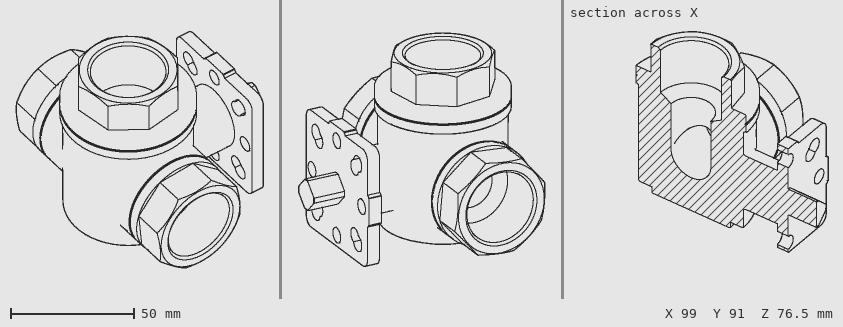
import cadquery as cq

body_radius = 26.5
body_bottom = -24.0
body_edge_fillet = 1.0
foot_radius = 19.9
foot_bottom = -27.0
foot_edge_fillet = 0.9
neck_blend = 0.9

port_reach = 49.5
side_neck_radius = 21.9
side_collar_end = 35.5
top_flange_radius = 27.8
top_flange_bottom = 25.8
top_flange_end = 35.0
joint_offset = 5.2
joint_width = 0.5
joint_depth = 0.4
flange_edge_fillet = 0.5
flange_root_fillet = 0.5

nut_corner_radius = 21.8
nut_sides = 8
side_nut_turn = -17.4
top_nut_turn = -13.5
nut_face_radius = 19.8
nut_chamfer_length = 1.4

bore_radius = 9.9
thread_radius = 15.3
thread_depth = 22.8
mouth_radius = 16.4
shoulder_length = 3.3

stem_neck_radius = 13.9
plate_front = 43.4
plate_back = 49.0
plate_half = 25.9
plate_corner_radius = 4.0
tab_half_width = 6.0
tab_height = 1.5
tab_fillet = 1.0
tab_turns = (0, -90)
edge_circle_radius = 21.0
corner_inner_radius = 21.4
corner_outer_radius = 24.9
small_hole_radius = 3.3
large_hole_radius = 3.5
stem_square = 11.0
stem_round_radius = 6.7
stem_end = 63.2
stem_end_chamfer = 0.3


def revolved(points):
    """Turn a (radius, height) outline about Z."""
    return cq.Workplane("XZ").polyline(points).close().revolve(360, (0, 0), (0, 1))


def z_cylinder(radius, bottom, top):
    return cq.Workplane("XY").workplane(offset=bottom).circle(radius).extrude(top - bottom)


def to_right(shape):
    """Turn a port built along +Z so that it points along +X, keeping Y."""
    return shape.rotate((0, 0, 0), (0, 1, 0), 90)


def along_y(start):
    """Workplane facing +Y at the given Y, with its local y along +Z."""
    return cq.Workplane(cq.Plane((0, start, 0), (-1, 0, 0), (0, 1, 0)))


def nut(bottom, turn):
    """Octagonal nut standing on Z with its outer corners turned off to a cone."""
    prism = (
        cq.Workplane("XY")
        .workplane(offset=bottom)
        .polygon(nut_sides, 2 * nut_corner_radius)
        .extrude(port_reach - bottom)
        .rotate((0, 0, 0), (0, 0, 1), turn)
    )
    envelope = revolved([
        (0, bottom),
        (nut_corner_radius, bottom),
        (nut_corner_radius, port_reach - nut_chamfer_length),
        (nut_face_radius, port_reach),
        (0, port_reach),
    ])
    return prism.intersect(envelope)


def joint_groove(radius, height):
    """Ring that cuts a fine joint line around a collar."""
    outer = z_cylinder(radius + joint_depth, height, height + joint_width)
    return outer.cut(z_cylinder(radius - joint_depth, height, height + joint_width))


def port_bore():
    """Threaded mouth, conical shoulder and through bore down to the centre."""
    mouth_step = mouth_radius - thread_radius
    thread_end = port_reach - thread_depth
    return revolved([
        (0, 0),
        (bore_radius, 0),
        (bore_radius, thread_end - shoulder_length),
        (thread_radius, thread_end),
        (thread_radius, port_reach - mouth_step),
        (mouth_radius, port_reach),
        (0, port_reach),
    ])


def shell():
    """Barrel with its foot and top flange, and the side and stem necks blended into it."""
    barrel = z_cylinder(body_radius, body_bottom, top_flange_bottom)
    barrel = barrel.faces("<Z").edges().fillet(body_edge_fillet)
    side_necks = to_right(z_cylinder(side_neck_radius, -side_collar_end, side_collar_end))
    stem_neck = along_y(0).circle(stem_neck_radius).extrude(plate_front)
    joined = barrel.union(side_necks).union(stem_neck)
    blended = joined.edges("%BSPLINE").fillet(neck_blend)
    foot = z_cylinder(foot_radius, foot_bottom, 0).faces("<Z").edges().fillet(foot_edge_fillet)
    top_flange = z_cylinder(top_flange_radius, top_flange_bottom, top_flange_end)
    top_flange = top_flange.faces(">Z").edges().fillet(flange_edge_fillet)
    flange_root = revolved([
        (0, top_flange_bottom - flange_root_fillet),
        (body_radius, top_flange_bottom - flange_root_fillet),
        (body_radius + flange_root_fillet, top_flange_bottom),
        (0, top_flange_bottom),
    ])
    return blended.union(foot).union(top_flange).union(flange_root)


def hole_ring(circle_radius, start_angle, hole_radius):
    """Four holes through the plate, a quarter turn apart."""
    ring = along_y(plate_front).polarArray(circle_radius, start_angle, 360, 4)
    return ring.circle(hole_radius).extrude(plate_back - plate_front)


def mounting_plate():
    """Square plate with tabs on two sides, four edge holes and four double corner holes."""
    thickness = plate_back - plate_front
    plate = along_y(plate_front).rect(2 * plate_half, 2 * plate_half).extrude(thickness)
    plate = plate.edges("|Y").fillet(plate_corner_radius)
    tab_end = plate_half + tab_height
    tab = (
        along_y(plate_front)
        .moveTo(-tab_half_width - tab_fillet, 0)
        .lineTo(-tab_half_width - tab_fillet, plate_half)
        .radiusArc((-tab_half_width, plate_half + tab_fillet), tab_fillet)
        .lineTo(-tab_half_width, tab_end)
        .lineTo(tab_half_width, tab_end)
        .lineTo(tab_half_width, plate_half + tab_fillet)
        .radiusArc((tab_half_width + tab_fillet, plate_half), tab_fillet)
        .lineTo(tab_half_width + tab_fillet, 0)
        .close()
        .extrude(thickness)
    )
    for turn in tab_turns:
        plate = plate.union(tab.rotate((0, 0, 0), (0, 1, 0), turn))
    plate = plate.cut(hole_ring(edge_circle_radius, 0, small_hole_radius))
    plate = plate.cut(hole_ring(corner_inner_radius, 45, small_hole_radius))
    return plate.cut(hole_ring(corner_outer_radius, 45, large_hole_radius))


def stem():
    """Square drive standing on its corner, with the corners turned off."""
    length = stem_end - plate_front
    square = along_y(plate_front).rect(stem_square, stem_square).extrude(length)
    square = square.rotate((0, 0, 0), (0, 1, 0), 45)
    rounding = along_y(plate_front).circle(stem_round_radius).extrude(length)
    return square.intersect(rounding.faces(">Y").chamfer(stem_end_chamfer))


result = shell().union(mounting_plate()).union(stem())

side_nut = to_right(nut(side_collar_end, side_nut_turn))
result = result.union(side_nut).union(side_nut.mirror("YZ"))
result = result.union(nut(top_flange_end, top_nut_turn))

side_groove = to_right(joint_groove(side_neck_radius, side_collar_end - joint_offset))
result = result.cut(side_groove).cut(side_groove.mirror("YZ"))
result = result.cut(joint_groove(top_flange_radius, top_flange_end - joint_offset))

side_bore = to_right(port_bore())
result = result.cut(port_bore()).cut(side_bore).cut(side_bore.mirror("YZ"))